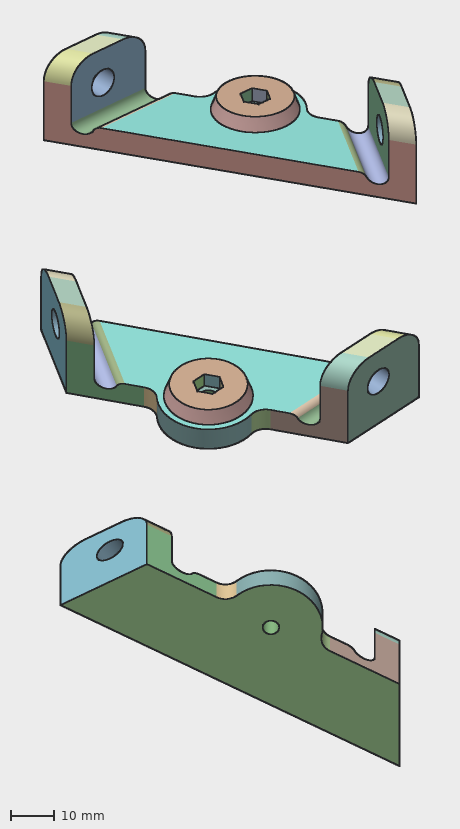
import cadquery as cq
import math

length = 90.7
depth = 20.0
plate_height = 6.0
end_angle = math.radians(30)

ear_height = 22.0
ear_thickness = 5.8
ear_corner_radius = 6.0
ear_hole_diameter = 7.0
ear_hole_height = 12.9

groove_radius = 2.45
groove_sweep = math.radians(64)

lug_radius = 12.0
lug_y = 18.95
lug_fillet = 4.0
boss_base_radius = 10.3
boss_top_radius = 9.1
boss_height = 3.5
hex_across_flats = 6.3
hex_depth = 3.5
bolt_hole_diameter = 3.8

boss_top = plate_height + boss_height
end_run = depth * math.tan(end_angle)


def trapezoid(height):
    """Full footprint of the bracket without the lug."""
    half = length / 2
    outline = [(-half, 0), (half, 0), (half - end_run, depth), (end_run - half, depth)]
    return cq.Workplane("XY").polyline(outline).close().extrude(height)


def lug():
    """Round lug blended into the rear edge of the plate by two concave arcs."""
    blend_y = depth + lug_fillet
    blend_x = math.sqrt((lug_radius + lug_fillet) ** 2 - (blend_y - lug_y) ** 2)
    share = lug_radius / (lug_radius + lug_fillet)
    touch_x = blend_x * share
    touch_y = lug_y + (blend_y - lug_y) * share
    down_to_lug = math.atan2(blend_x, blend_y - lug_y)
    mid_x = blend_x - lug_fillet * math.sin(down_to_lug / 2)
    mid_y = blend_y - lug_fillet * math.cos(down_to_lug / 2)
    return (
        cq.Workplane("XY")
        .moveTo(-blend_x, lug_y - lug_radius)
        .lineTo(blend_x, lug_y - lug_radius)
        .lineTo(blend_x, depth)
        .threePointArc((mid_x, mid_y), (touch_x, touch_y))
        .threePointArc((0, lug_y + lug_radius), (-touch_x, touch_y))
        .threePointArc((-mid_x, mid_y), (-blend_x, depth))
        .close()
        .extrude(plate_height)
    )


def end_plane():
    """Plane at the left front corner: x runs inward, square to the end face, y runs up."""
    inward = (math.cos(end_angle), -math.sin(end_angle), 0)
    backward = (math.sin(end_angle), math.cos(end_angle), 0)
    return cq.Plane(
        origin=(-length / 2, 0, 0),
        xDir=inward,
        normal=tuple(-part for part in backward),
    )


def ear_clearance():
    """Left half of the space cut out between the ears, with the groove at its edge."""
    reach = length
    lip_turn = groove_radius * math.sin(groove_sweep)
    lip_radius = groove_radius * math.cos(groove_sweep) / (1 - math.cos(groove_sweep))
    floor_x = ear_thickness + groove_radius
    meet_x = floor_x + lip_turn
    meet_z = plate_height - groove_radius * math.cos(groove_sweep)
    lip_end = meet_x + lip_radius * math.sin(groove_sweep)
    floor_mid = (
        floor_x + groove_radius * math.sin(groove_sweep / 2),
        plate_height - groove_radius * math.cos(groove_sweep / 2),
    )
    lip_mid = (
        lip_end - lip_radius * math.sin(groove_sweep / 2),
        plate_height - lip_radius * (1 - math.cos(groove_sweep / 2)),
    )
    quarter = groove_radius * math.sqrt(0.5)
    space = (
        cq.Workplane(end_plane())
        .moveTo(ear_thickness, plate_height)
        .threePointArc((floor_x - quarter, plate_height - quarter), (floor_x, plate_height - groove_radius))
        .threePointArc(floor_mid, (meet_x, meet_z))
        .threePointArc(lip_mid, (lip_end, plate_height))
        .lineTo(length, plate_height)
        .lineTo(length, ear_height)
        .lineTo(ear_thickness, ear_height)
        .close()
        .extrude(reach, both=True)
    )
    left_half = cq.Workplane("XY").box(length, 2 * length, 2 * ear_height).translate((-length / 2, 0, 0))
    return space.intersect(left_half)


def ear_hole():
    """Hole through the middle of the left ear, square to its faces."""
    middle_x = (-length + end_run + ear_thickness / math.cos(end_angle)) / 2
    inward = cq.Vector(math.cos(end_angle), -math.sin(end_angle), 0)
    start = cq.Vector(middle_x, depth / 2, ear_hole_height) - inward * ear_thickness
    return cq.Workplane(
        cq.Solid.makeCylinder(ear_hole_diameter / 2, 2 * ear_thickness, start, inward)
    )


def boss():
    """Conical boss on top of the lug."""
    return cq.Workplane(
        cq.Solid.makeCone(
            boss_base_radius, boss_top_radius, boss_height, cq.Vector(0, lug_y, plate_height)
        )
    )


def bolt_hole():
    """Through hole with a hexagonal socket at the top."""
    hole = cq.Workplane("XY").center(0, lug_y).circle(bolt_hole_diameter / 2).extrude(boss_top)
    hex_across_corners = hex_across_flats / math.cos(math.radians(30))
    socket = (
        cq.Workplane("XY", origin=(0, lug_y, boss_top - hex_depth))
        .polygon(6, hex_across_corners)
        .extrude(hex_depth)
    )
    return hole.union(socket)


body = trapezoid(ear_height).edges("|X and >Z").fillet(ear_corner_radius)
for tool in (ear_clearance(), ear_hole()):
    body = body.cut(tool).cut(tool.mirror("YZ"))

result = body.union(lug()).union(boss()).cut(bolt_hole())